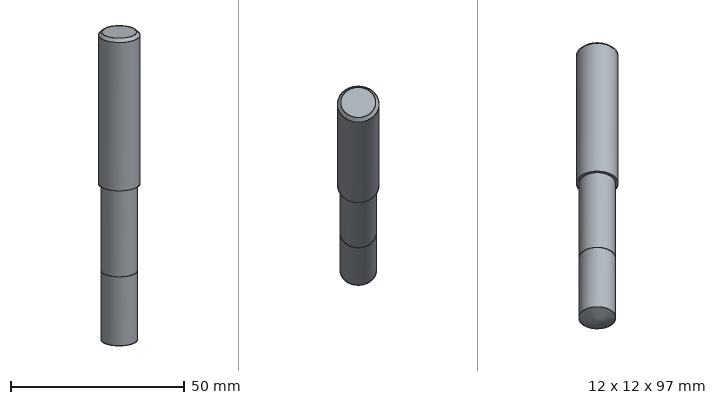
import cadquery as cq
import math

total_length = 96.95
shank_diameter = 12.0
shank_length = 46.8
shank_chamfer = 1.0
neck_diameter = 10.6
cutter_diameter = 10.7
cutter_length = 23.3
point_angle = 140.0

tip_z = -total_length / 2
top_z = total_length / 2
shank_bottom_z = top_z - shank_length
cutter_top_z = tip_z + cutter_length
cutter_radius = cutter_diameter / 2
point_height = cutter_radius / math.tan(math.radians(point_angle / 2))


def make_holder():
    """Chamfered shank with the slimmer neck below it."""
    shank = (
        cq.Workplane("XY", origin=(0, 0, shank_bottom_z))
        .circle(shank_diameter / 2)
        .extrude(shank_length)
        .faces(">Z")
        .chamfer(shank_chamfer)
    )
    neck = (
        cq.Workplane("XY", origin=(0, 0, cutter_top_z))
        .circle(neck_diameter / 2)
        .extrude(shank_bottom_z - cutter_top_z)
    )
    return shank.union(neck)


def make_cutter():
    """Cylindrical cutting end with a conical point, seated flat against the neck."""
    return (
        cq.Workplane("XZ")
        .moveTo(0, tip_z)
        .lineTo(cutter_radius, tip_z + point_height)
        .lineTo(cutter_radius, cutter_top_z)
        .lineTo(0, cutter_top_z)
        .close()
        .revolve(360, (0, 0, 0), (0, 1, 0))
    )


holder = make_holder()
cutter = make_cutter()

result = cq.Compound.makeCompound([holder.val(), cutter.val()])